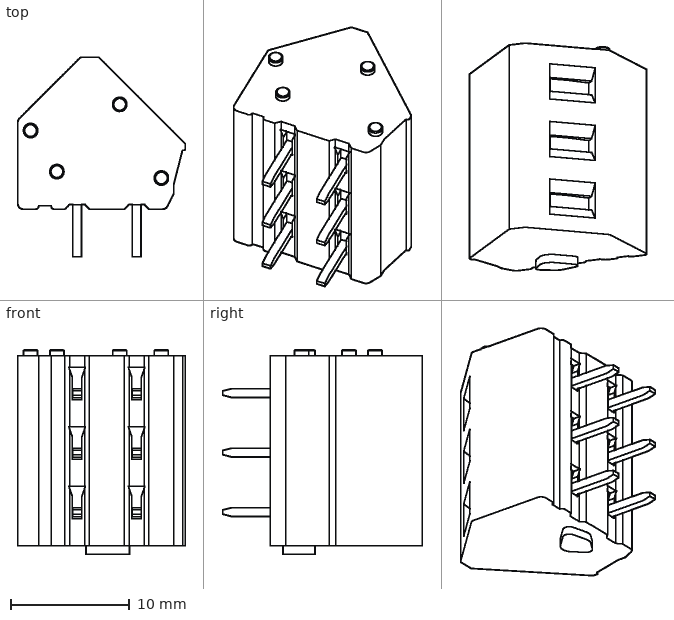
import cadquery as cq
import math

HOUSING_WIDTH = 14.1
HOUSING_DEPTH = 12.8
HOUSING_HEIGHT = 16.0
SIDE_HEIGHT = 7.49
SHOULDER_Y = 5.5
SIDE_FILLET = 0.5
RIDGE_FILLET = 0.35
BOARD_CORNER_FILLET = 0.5

LIP_BOTTOM_Y = 4.95
LIP_ROOT_X = 13.86
LIP_FILLET = 0.13
FOOT_X = 13.13
FOOT_TOP_Y = 2.08
FOOT_BOTTOM_Y = 1.32
FOOT_BEVEL_X = 12.47

POLE_COUNT = 3
POLE_PITCH = 5.0
FIRST_POLE_Z = 2.85
PIN_ROWS_X = (5.0, 10.0)

PIN_GROOVE_FLOOR = 1.26
PIN_GROOVE_DEPTH = 0.4
KEY_GROOVE_START = 1.78
KEY_GROOVE_END = 2.81
KEY_GROOVE_DEPTH = 0.3
KEY_GROOVE_FILLET = 0.28

PIN_SIZE = 0.75
PIN_LENGTH = 4.0
PIN_TAPER_LENGTH = 0.75
PIN_TAPER = 0.19

SLOT_WIDTH = 0.8
SLOT_FLARE_WIDTH = 1.38
SLOT_BELOW_PIN = 0.55
SLOT_NECK_ABOVE_PIN = 1.33
SLOT_ABOVE_PIN = 2.15
SLOT_DEPTH = 1.05

ENTRY_TOP_Y = 11.26
ENTRY_LENGTH = 4.06
ENTRY_HEIGHT = 3.05
ENTRY_HOLE_HEIGHT = 1.2
ENTRY_DEPTH = 1.35
ENTRY_STEP = 2.14
ENTRY_UPPER_DRAFT = 21.0
ENTRY_FLOOR_TILT = 8.0

PEG_DIAMETER = 1.2
PEG_HEIGHT = 0.5
PEG_CHAMFER = 0.1
PEG_CENTRES = ((1.09, 6.62), (3.30, 3.17), (8.58, 8.82), (12.08, 2.63))

KEY_HEIGHT = 0.7
KEY_CORNERS = (
    ((5.21, 1.68), 0.55),
    ((7.85, 0.995), 1.0),
    ((9.75, 2.09), 0.55),
    ((7.75, 4.22), 1.0),
)


def pole_heights():
    return [FIRST_POLE_Z + i * POLE_PITCH for i in range(POLE_COUNT)]


def fillet_at(body, x, y, radius):
    """Round the edge parallel to Z that passes through (x, y)."""
    margin = 0.01
    picker = cq.selectors.BoxSelector(
        (x - margin, y - margin, -HOUSING_HEIGHT),
        (x + margin, y + margin, 2 * HOUSING_HEIGHT),
    )
    return body.edges("|Z").edges(picker).fillet(radius)


def make_housing():
    ridge_start = HOUSING_DEPTH - SIDE_HEIGHT
    ridge_end = HOUSING_WIDTH - (HOUSING_DEPTH - SHOULDER_Y)
    outline = [
        (0, 0),
        (FOOT_BEVEL_X, 0),
        (FOOT_X, FOOT_BOTTOM_Y),
        (FOOT_X, FOOT_TOP_Y),
        (LIP_ROOT_X, LIP_BOTTOM_Y),
        (HOUSING_WIDTH, LIP_BOTTOM_Y),
        (HOUSING_WIDTH, SHOULDER_Y),
        (ridge_end, HOUSING_DEPTH),
        (ridge_start, HOUSING_DEPTH),
        (0, SIDE_HEIGHT),
    ]
    body = cq.Workplane("XY").polyline(outline).close().extrude(HOUSING_HEIGHT)
    body = fillet_at(body, 0, SIDE_HEIGHT, SIDE_FILLET)
    body = fillet_at(body, ridge_start, HOUSING_DEPTH, RIDGE_FILLET)
    body = fillet_at(body, HOUSING_WIDTH, LIP_BOTTOM_Y, LIP_FILLET)
    body = fillet_at(body, 0, 0, BOARD_CORNER_FILLET)
    return fillet_at(body, FOOT_BEVEL_X, 0, BOARD_CORNER_FILLET)


def cut_grooves(body):
    for x in PIN_ROWS_X:
        floor = PIN_GROOVE_FLOOR / 2
        mouth = floor + PIN_GROOVE_DEPTH
        outline = [
            (x - mouth, 0),
            (x + mouth, 0),
            (x + floor, PIN_GROOVE_DEPTH),
            (x - floor, PIN_GROOVE_DEPTH),
        ]
        body = body.cut(cq.Workplane("XY").polyline(outline).close().extrude(HOUSING_HEIGHT))

    key_groove = (
        cq.Workplane("XY")
        .moveTo(KEY_GROOVE_START, 0)
        .lineTo(KEY_GROOVE_END, 0)
        .lineTo(KEY_GROOVE_END, KEY_GROOVE_DEPTH)
        .lineTo(KEY_GROOVE_START, KEY_GROOVE_DEPTH)
        .close()
        .extrude(HOUSING_HEIGHT)
    )
    body = body.cut(key_groove)
    for x in (KEY_GROOVE_START, KEY_GROOVE_END):
        body = fillet_at(body, x, 0, KEY_GROOVE_FILLET)
    return body


def make_pin_slot(x, z):
    half = SLOT_WIDTH / 2
    flare = SLOT_FLARE_WIDTH / 2
    outline = [
        (x - half, z - SLOT_BELOW_PIN),
        (x + half, z - SLOT_BELOW_PIN),
        (x + half, z + SLOT_NECK_ABOVE_PIN),
        (x + flare, z + SLOT_ABOVE_PIN),
        (x - flare, z + SLOT_ABOVE_PIN),
        (x - half, z + SLOT_NECK_ABOVE_PIN),
    ]
    return cq.Workplane("XZ").polyline(outline).close().extrude(-SLOT_DEPTH)


def make_pin(x, z):
    """Square pin rooted in the slot floor, its tip tapered in Z only."""
    half = PIN_SIZE / 2
    tip = half - PIN_TAPER
    taper_y = PIN_TAPER_LENGTH - PIN_LENGTH
    outline = [
        (SLOT_DEPTH, z - half),
        (taper_y, z - half),
        (-PIN_LENGTH, z - tip),
        (-PIN_LENGTH, z + tip),
        (taper_y, z + half),
        (SLOT_DEPTH, z + half),
    ]
    pin = cq.Workplane("YZ").polyline(outline).close().extrude(PIN_SIZE)
    return pin.translate((x - half, 0, 0))


def make_wire_entry(z):
    """Pocket whose floor steps along the slope and whose upper and lower walls funnel inward.

    Local axes: X runs down the slope from the pocket's top edge, Y runs along +Z,
    and the plane normal points out of the housing.
    """
    slope = cq.Plane(
        origin=(ENTRY_TOP_Y - SIDE_HEIGHT, ENTRY_TOP_Y, z),
        xDir=(-1, -1, 0),
        normal=(-1, 1, 0),
    )
    upper_shift = ENTRY_DEPTH * math.tan(math.radians(ENTRY_UPPER_DRAFT))
    floor_drop = (ENTRY_LENGTH - ENTRY_STEP) * math.tan(math.radians(ENTRY_FLOOR_TILT))
    end_depth = ENTRY_DEPTH + floor_drop
    profile = [
        (0, 0),
        (upper_shift, -ENTRY_DEPTH),
        (ENTRY_STEP, -ENTRY_DEPTH),
        (ENTRY_LENGTH, -end_depth),
        (ENTRY_LENGTH, 0),
    ]
    pocket = cq.Workplane("XZ").polyline(profile).close().extrude(ENTRY_HEIGHT / 2, both=True)

    mouth = ENTRY_HEIGHT / 2
    throat = ENTRY_HOLE_HEIGHT / 2
    funnel_depth = mouth - throat
    funnel_outline = [
        (-mouth, 0),
        (-throat, -funnel_depth),
        (-throat, -end_depth),
        (throat, -end_depth),
        (throat, -funnel_depth),
        (mouth, 0),
    ]
    funnel = cq.Workplane("YZ").polyline(funnel_outline).close().extrude(ENTRY_LENGTH)
    local_shape = pocket.intersect(funnel).val()
    return cq.Workplane(obj=local_shape.moved(cq.Location(slope)))


def make_pegs():
    return (
        cq.Workplane("XY", origin=(0, 0, HOUSING_HEIGHT))
        .pushPoints(PEG_CENTRES)
        .circle(PEG_DIAMETER / 2)
        .extrude(PEG_HEIGHT)
        .faces(">Z")
        .chamfer(PEG_CHAMFER)
    )


def make_key():
    corners = [corner for corner, _ in KEY_CORNERS]
    key = cq.Workplane("XY").polyline(corners).close().extrude(-KEY_HEIGHT)
    for (x, y), radius in KEY_CORNERS:
        key = fillet_at(key, x, y, radius)
    return key


part = cut_grooves(make_housing())
for pole_z in pole_heights():
    part = part.cut(make_wire_entry(pole_z))
    for row_x in PIN_ROWS_X:
        part = part.cut(make_pin_slot(row_x, pole_z))
        part = part.union(make_pin(row_x, pole_z))

result = part.union(make_pegs()).union(make_key())